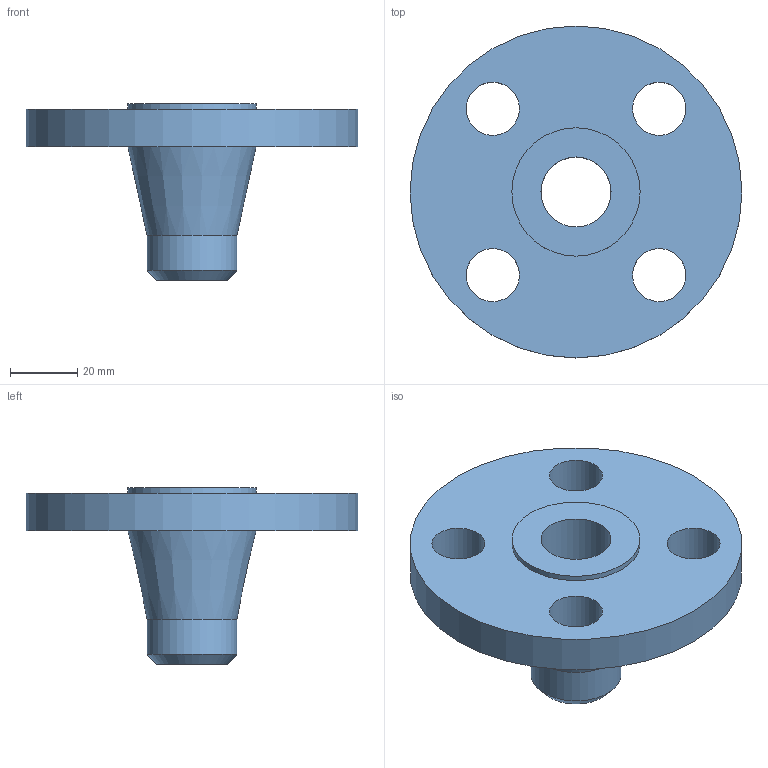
import cadquery as cq

flange_diameter = 98.55
flange_thickness = 11.1
raised_face_diameter = 38.1
raised_face_height = 1.6

overall_height = 52.39
hub_diameter = 38.1
pipe_diameter = 26.67
bore_diameter = 20.8
hub_taper_length = 26.4
bevel_end_diameter = 21.34
bevel_height = 3.0

bolt_hole_count = 4
bolt_hole_diameter = 15.75
bolt_circle_diameter = 69.85
first_bolt_angle = 45

flange_radius = flange_diameter / 2
raised_face_radius = raised_face_diameter / 2
hub_radius = hub_diameter / 2
pipe_radius = pipe_diameter / 2
bore_radius = bore_diameter / 2
bevel_end_radius = bevel_end_diameter / 2
flange_top = overall_height - raised_face_height
flange_bottom = flange_top - flange_thickness
taper_bottom = flange_bottom - hub_taper_length


def make_body():
    """Revolve the half section of the flange, neck and bore about Z."""
    return (
        cq.Workplane("XZ")
        .moveTo(bore_radius, 0)
        .lineTo(bevel_end_radius, 0)
        .lineTo(pipe_radius, bevel_height)
        .lineTo(pipe_radius, taper_bottom)
        .lineTo(hub_radius, flange_bottom)
        .lineTo(flange_radius, flange_bottom)
        .lineTo(flange_radius, flange_top)
        .lineTo(raised_face_radius, flange_top)
        .lineTo(raised_face_radius, overall_height)
        .lineTo(bore_radius, overall_height)
        .close()
        .revolve(360, (0, 0, 0), (0, 1, 0))
    )


def make_bolt_holes():
    """Cylinders through the flange, evenly spaced on the bolt circle."""
    return (
        cq.Workplane("XY")
        .workplane(offset=flange_bottom)
        .polarArray(bolt_circle_diameter / 2, first_bolt_angle, 360, bolt_hole_count)
        .circle(bolt_hole_diameter / 2)
        .extrude(flange_thickness)
    )


result = make_body().cut(make_bolt_holes())